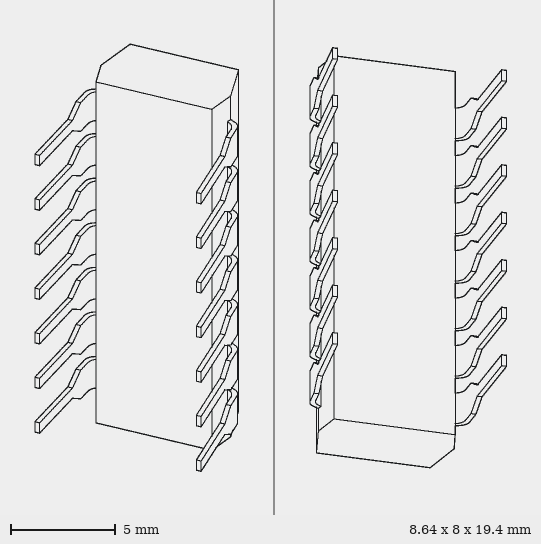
import cadquery as cq
import math

BODY_LENGTH = 19.43
PARTING_WIDTH = 6.74
BACK_WIDTH = 5.64
FRONT_WIDTH = 6.02
BACK_DEPTH = 2.25
FRONT_DEPTH = 1.43

LEADS_PER_ROW = 7
LEAD_PITCH = 2.54
LOWEST_LEAD_HEIGHT = 2.03
LEAD_THICKNESS = 0.25
SHOULDER_WIDTH = 1.64
PIN_WIDTH = 0.59
LEAD_SPAN = 8.64
OVERALL_DEPTH = 8.0
SPLAY_ANGLE = math.radians(4)
EXIT_ANGLE = math.radians(27)
BEND_RADIUS = 0.55

TAPER_START_Y = -1.49
TAPER_END_Y = -2.34

TIP_Y = BACK_DEPTH - OVERALL_DEPTH


def make_body():
    outline = [
        (BACK_WIDTH / 2, BACK_DEPTH),
        (PARTING_WIDTH / 2, 0),
        (FRONT_WIDTH / 2, -FRONT_DEPTH),
        (-FRONT_WIDTH / 2, -FRONT_DEPTH),
        (-PARTING_WIDTH / 2, 0),
        (-BACK_WIDTH / 2, BACK_DEPTH),
    ]
    section = cq.Workplane("XY").polyline(outline).close()
    return section.extrude(BODY_LENGTH / 2, both=True)


def bend_points(inset):
    """Start, middle and end of the bend, from exit to leg, on a face set in from the outer one.

    Each face has a straight exit and a straight leg, joined by a tangent arc.
    """
    leg_normal = SPLAY_ANGLE
    exit_normal = math.pi / 2 - EXIT_ANGLE
    mid_normal = (leg_normal + exit_normal) / 2

    set_back = inset + BEND_RADIUS
    leg_offset = LEAD_SPAN / 2 * math.cos(leg_normal) + TIP_Y * math.sin(leg_normal) - set_back
    exit_offset = PARTING_WIDTH / 2 * math.cos(exit_normal) - set_back

    turn = math.sin(exit_normal - leg_normal)
    centre_x = (leg_offset * math.sin(exit_normal) - exit_offset * math.sin(leg_normal)) / turn
    centre_y = (exit_offset * math.cos(leg_normal) - leg_offset * math.cos(exit_normal)) / turn
    return [
        (centre_x + BEND_RADIUS * math.cos(angle), centre_y + BEND_RADIUS * math.sin(angle))
        for angle in (exit_normal, mid_normal, leg_normal)
    ]


def make_bent_strip():
    """Lead of the +X row at full shoulder width, centred on Z = 0."""
    outer_start, outer_middle, outer_end = bend_points(0)
    inner_start, inner_middle, inner_end = bend_points(LEAD_THICKNESS)

    exit_x = PARTING_WIDTH / 2
    root_x = inner_start[0] + inner_start[1] / math.tan(EXIT_ANGLE)

    tip_outer_x = LEAD_SPAN / 2
    tip_inner_x = tip_outer_x - LEAD_THICKNESS / math.cos(SPLAY_ANGLE)

    profile = (
        cq.Workplane("XY")
        .moveTo(exit_x, 0)
        .lineTo(*outer_start)
        .threePointArc(outer_middle, outer_end)
        .lineTo(tip_outer_x, TIP_Y)
        .lineTo(tip_inner_x, TIP_Y)
        .lineTo(*inner_end)
        .threePointArc(inner_middle, inner_start)
        .lineTo(root_x, 0)
        .close()
    )
    return profile.extrude(SHOULDER_WIDTH / 2, both=True)


def make_lead_outline():
    """Flat shape of a lead in Y-Z, wide at the shoulder and narrow at the pin."""
    upper_edge = [
        (BACK_DEPTH, SHOULDER_WIDTH / 2),
        (TAPER_START_Y, SHOULDER_WIDTH / 2),
        (TAPER_END_Y, PIN_WIDTH / 2),
        (TIP_Y, PIN_WIDTH / 2),
    ]
    lower_edge = [(y, -z) for y, z in reversed(upper_edge)]
    return cq.Workplane("YZ").polyline(upper_edge + lower_edge).close().extrude(LEAD_SPAN)


def add_leads(body):
    right_lead = make_bent_strip().intersect(make_lead_outline())
    left_lead = right_lead.mirror("YZ")
    lowest_lead_z = LOWEST_LEAD_HEIGHT - BODY_LENGTH / 2
    for index in range(LEADS_PER_ROW):
        z = lowest_lead_z + index * LEAD_PITCH
        body = body.union(right_lead.translate((0, 0, z)))
        body = body.union(left_lead.translate((0, 0, z)))
    return body


result = add_leads(make_body())